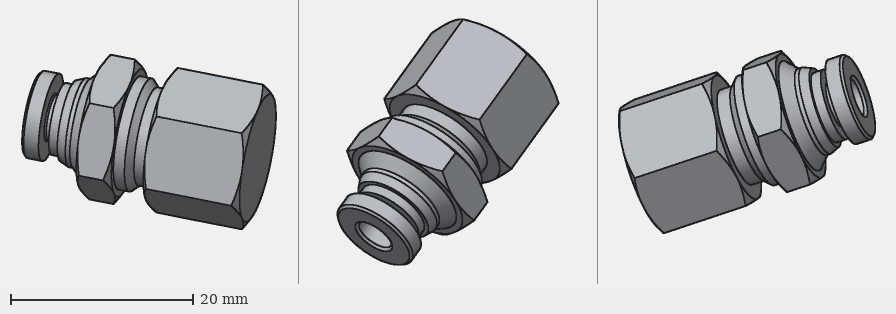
import cadquery as cq
import math

TOTAL_LENGTH = 25.6

HEX_ACROSS_FLATS = 14.28
HEX_ACROSS_CORNERS = HEX_ACROSS_FLATS / math.cos(math.radians(30))
HEX_CHAMFER_ANGLE = 30.0
NUT_START = 6.95
NUT_END = 10.95
WRENCH_START = 14.6

BUTTON_DIAMETER = 9.8
BUTTON_HEAD_LENGTH = 1.97
BUTTON_CHAMFER = 0.28
STEM_DIAMETER = 5.2
STEM_CHAMFER_LENGTH = 0.2
STEM_CHAMFER_RISE = 0.1
STEM_END = NUT_START
BORE_DIAMETER = 4.2
BORE_CHAMFER = 0.3

COLLAR_START = 2.9
COLLAR_DIAMETER = 8.1
NOSE_START = 4.02
NOSE_START_DIAMETER = 9.11
NOSE_END = 5.07
NOSE_DIAMETER = 10.0
CONE_START = 5.58
THREAD_DIAMETER = 12.7
CONE_END = CONE_START + (THREAD_DIAMETER - NOSE_DIAMETER) / 2
NECK_DIAMETER = 11.0
NECK_TAPER_START = 12.2
NECK_START = NECK_TAPER_START + (THREAD_DIAMETER - NECK_DIAMETER) / 2


def turned(stations):
    """Revolve (x, radius) stations about the X axis, closed along the axis."""
    first_x = stations[0][0]
    last_x = stations[-1][0]
    outline = [(first_x, 0), *stations, (last_x, 0)]
    return cq.Workplane("XY").polyline(outline).close().revolve(360, (0, 0), (1, 0))


def rod(start, end, diameter):
    return turned([(start, diameter / 2), (end, diameter / 2)])


def chamfered_hexagon(start, end):
    """Hexagonal bar with flats up and down and conical chamfers at both ends."""
    prism = (
        cq.Workplane("YZ")
        .workplane(offset=start)
        .polygon(6, HEX_ACROSS_CORNERS)
        .extrude(end - start)
    )
    flat_radius = HEX_ACROSS_FLATS / 2
    corner_radius = HEX_ACROSS_CORNERS / 2
    depth = (corner_radius - flat_radius) * math.tan(math.radians(HEX_CHAMFER_ANGLE))
    envelope = turned([
        (start, flat_radius),
        (start + depth, corner_radius),
        (end - depth, corner_radius),
        (end, flat_radius),
    ])
    return prism.intersect(envelope)


def make_release_button():
    """Flanged push button with a hollow stem that enters the housing."""
    head_radius = BUTTON_DIAMETER / 2
    stem_radius = STEM_DIAMETER / 2
    blank = turned([
        (0, head_radius - BUTTON_CHAMFER),
        (BUTTON_CHAMFER, head_radius),
        (BUTTON_HEAD_LENGTH, head_radius),
        (BUTTON_HEAD_LENGTH, stem_radius + STEM_CHAMFER_RISE),
        (BUTTON_HEAD_LENGTH + STEM_CHAMFER_LENGTH, stem_radius),
        (STEM_END, stem_radius),
    ])
    bore_radius = BORE_DIAMETER / 2
    bore = turned([
        (0, bore_radius + BORE_CHAMFER),
        (BORE_CHAMFER, bore_radius),
        (STEM_END, bore_radius),
    ])
    return blank.cut(bore)


def make_housing():
    """Stepped, threaded barrel with a wrench hexagon and a socket for the button stem."""
    barrel = turned([
        (COLLAR_START, COLLAR_DIAMETER / 2),
        (NOSE_START, COLLAR_DIAMETER / 2),
        (NOSE_START, NOSE_START_DIAMETER / 2),
        (NOSE_END, NOSE_DIAMETER / 2),
        (CONE_START, NOSE_DIAMETER / 2),
        (CONE_END, THREAD_DIAMETER / 2),
        (NECK_TAPER_START, THREAD_DIAMETER / 2),
        (NECK_START, NECK_DIAMETER / 2),
        (WRENCH_START, NECK_DIAMETER / 2),
    ])
    stem_socket = rod(COLLAR_START, STEM_END, STEM_DIAMETER)
    return barrel.union(chamfered_hexagon(WRENCH_START, TOTAL_LENGTH)).cut(stem_socket)


def make_lock_nut():
    """Hexagonal nut fitted around the threaded barrel."""
    return chamfered_hexagon(NUT_START, NUT_END).cut(rod(NUT_START, NUT_END, THREAD_DIAMETER))


release_button = make_release_button()
housing = make_housing()
lock_nut = make_lock_nut()

result = cq.Compound.makeCompound([release_button.val(), housing.val(), lock_nut.val()])